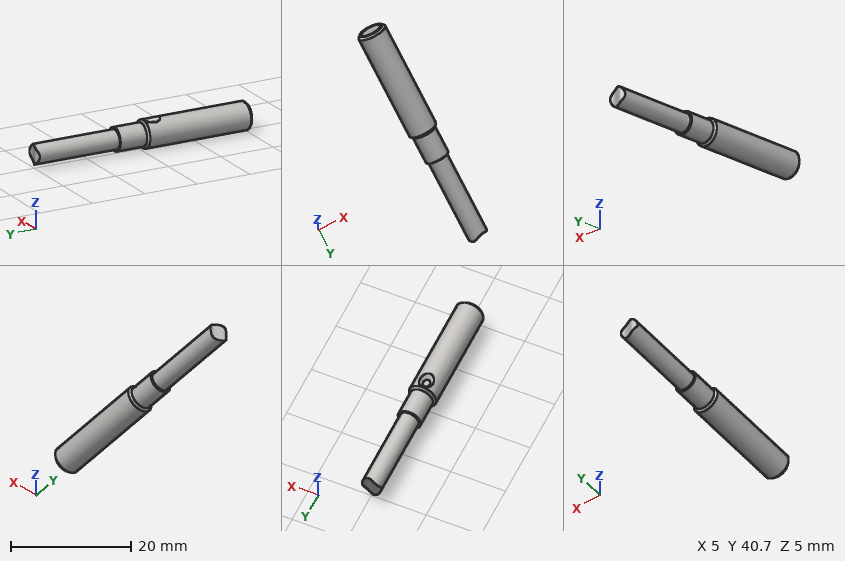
import cadquery as cq

TOTAL_LENGTH = 40.7
FRONT_Y = -TOTAL_LENGTH / 2
BACK_Y = TOTAL_LENGTH / 2

BARREL_DIAMETER = 5.0
BARREL_LENGTH = 20.0
NECK_DIAMETER = 4.2
NECK_LENGTH = 5.0
CHAMFER = (BARREL_DIAMETER - NECK_DIAMETER) / 2
SHOULDER_Y = FRONT_Y + BARREL_LENGTH

CABLE_DIAMETER = 3.5

WINDOW_TOP_DIAMETER = 3.05
WINDOW_FLOOR_DIAMETER = 1.45
WINDOW_SETBACK = 2.0

CREST_X = -0.98
TROUGH_X = 0.9
TROUGH_DEPTH = 0.6
LEFT_EDGE_DROP = 0.5
RIGHT_EDGE_DROP = 0.35


def rod(diameter, start_y, length):
    """Round bar along +Y, starting at start_y."""
    front_plane = cq.Workplane("XZ", origin=(0, start_y, 0))
    return front_plane.circle(diameter / 2).extrude(-length)


def make_window_cutter():
    """Cone about Z, narrowing through the sleeve wall to a point inside the bore."""
    top_radius = WINDOW_TOP_DIAMETER / 2
    floor_radius = WINDOW_FLOOR_DIAMETER / 2
    top_z = BARREL_DIAMETER / 2
    floor_z = CABLE_DIAMETER / 2
    slope = (top_radius - floor_radius) / (top_z - floor_z)
    tip_z = floor_z - floor_radius / slope
    return (
        cq.Workplane("XZ", origin=(0, SHOULDER_Y - WINDOW_SETBACK, 0))
        .moveTo(0, tip_z)
        .lineTo(top_radius, top_z)
        .lineTo(0, top_z)
        .close()
        .revolve(360, (0, 0, 0), (0, 1, 0))
    )


def make_sleeve():
    barrel = rod(BARREL_DIAMETER, FRONT_Y, BARREL_LENGTH).faces("<Y or >Y").chamfer(CHAMFER)
    neck = rod(NECK_DIAMETER, SHOULDER_Y, NECK_LENGTH)
    bore = rod(CABLE_DIAMETER, FRONT_Y, TOTAL_LENGTH)
    return barrel.union(neck).cut(bore).cut(make_window_cutter()).solids()


def make_cable():
    """Cable trimmed by an S-shaped outline that runs straight through along Z."""
    radius = CABLE_DIAMETER / 2
    crest = (CREST_X, BACK_Y)
    middle = ((CREST_X + TROUGH_X) / 2, BACK_Y - TROUGH_DEPTH / 2)
    trough = (TROUGH_X, BACK_Y - TROUGH_DEPTH)
    outline = (
        cq.Workplane("XY")
        .moveTo(-radius, FRONT_Y)
        .lineTo(-radius, BACK_Y - LEFT_EDGE_DROP)
        .spline([crest, middle, trough, (radius, BACK_Y - RIGHT_EDGE_DROP)], includeCurrent=True)
        .lineTo(radius, FRONT_Y)
        .close()
        .extrude(radius, both=True)
    )
    return rod(CABLE_DIAMETER, FRONT_Y, TOTAL_LENGTH).intersect(outline).solids()


sleeve = make_sleeve()
cable = make_cable()
result = cq.Compound.makeCompound([sleeve.val(), cable.val()])